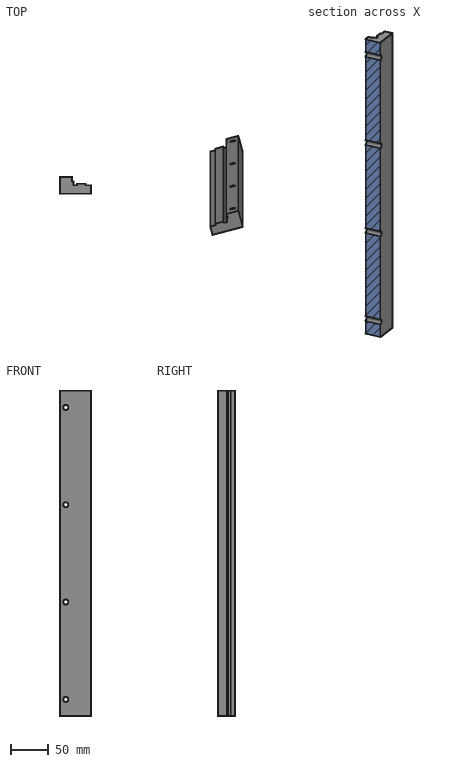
import cadquery as cq

width = 42.0
depth = 23.0
length = 435.0

wall_width = 16.5
ledge_width = 18.5
ledge_height = 17.0
floor_height = 12.0
rib_start = 23.0
rib_end = 34.5
rib_rise = 2.0

hole_diameter = 6.5
hole_x = 8.0
hole_count = 4
hole_pitch = 130.0
first_hole_z = (length - (hole_count - 1) * hole_pitch) / 2


def rail_body():
    """Stepped profile in the XY plane, extruded along Z."""
    rib_top = floor_height + rib_rise
    outline = [
        (0, 0),
        (width, 0),
        (width, floor_height),
        (rib_end, floor_height),
        (rib_end, rib_top),
        (rib_start, rib_top),
        (rib_start, floor_height),
        (ledge_width, floor_height),
        (ledge_width, ledge_height),
        (wall_width, ledge_height),
        (wall_width, depth),
        (0, depth),
    ]
    return cq.Workplane("XY").polyline(outline).close().extrude(length)


def mounting_hole(z):
    """Plain round hole along Y through the full depth of the wall."""
    axis_start = cq.Vector(hole_x, 0, z)
    return cq.Solid.makeCylinder(hole_diameter / 2, depth, axis_start, cq.Vector(0, 1, 0))


result = rail_body()
for index in range(hole_count):
    result = result.cut(mounting_hole(first_hole_z + index * hole_pitch))